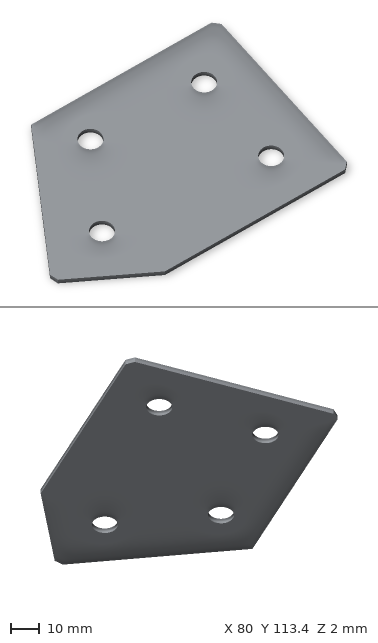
import cadquery as cq
import math

overall_length = 113.4
width = 80.0
thickness = 2.0
corner_chamfer = 2.5
hole_diameter = 9.1
hole_inset = 20.0
slope_hole_spacing = 40.9
slope_angle = math.radians(30)

slope_length = width * math.cos(slope_angle)
along = cq.Vector(math.cos(slope_angle), -math.sin(slope_angle))
inward = cq.Vector(math.sin(slope_angle), math.cos(slope_angle))
tip = along * slope_length
tip_left = tip - along * corner_chamfer
tip_right = tip + inward * corner_chamfer
top_y = overall_length + tip_left.y

outline = [
    (0, 0),
    (tip_left.x, tip_left.y),
    (tip_right.x, tip_right.y),
    (width, 0),
    (width, top_y - corner_chamfer),
    (width - corner_chamfer, top_y),
    (corner_chamfer, top_y),
    (0, top_y - corner_chamfer),
]
plate = cq.Workplane("XY").polyline(outline).close().extrude(thickness)

top_hole_y = top_y - hole_inset
slope_hole_right = along * (slope_length - hole_inset) + inward * hole_inset
slope_hole_left = slope_hole_right - along * slope_hole_spacing
hole_centers = [
    (hole_inset, top_hole_y),
    (width - hole_inset, top_hole_y),
    (slope_hole_left.x, slope_hole_left.y),
    (slope_hole_right.x, slope_hole_right.y),
]
holes = (
    cq.Workplane("XY")
    .pushPoints(hole_centers)
    .circle(hole_diameter / 2)
    .extrude(thickness)
)

result = plate.cut(holes)